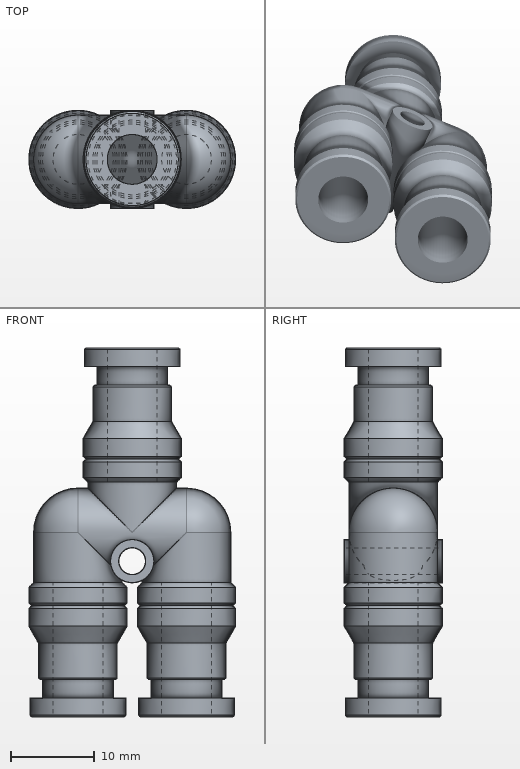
import cadquery as cq

height = 44.3
width = 24.8
band_dia = 11.8
body_dia = 10.65
arm_offset = (width - band_dia) / 2
body_z = height / 2

flange_dia = 11.5
neck_dia = 8.5
sleeve_dia = 9.45
bore_dia = 6.0

flange_end = 2.25
neck_end = 4.47
sleeve_end = 8.85
cone_end = 10.9
groove_start = 13.02
groove_end = 13.7
band_end = 15.55
connector_end = 16.13

flange_chamfer = 0.2
sleeve_chamfer = 0.2
groove_depth = 0.35

boss_dia = 5.2
boss_hole_dia = 3.2
boss_length = band_dia
boss_z = 18.7


def connector_leg():
    """Solid leg along +Z, from its open end at the origin to the centre of the body."""
    flange_r = flange_dia / 2
    neck_r = neck_dia / 2
    sleeve_r = sleeve_dia / 2
    band_r = band_dia / 2
    body_r = body_dia / 2
    profile = [
        (0, 0),
        (flange_r - flange_chamfer, 0),
        (flange_r, flange_chamfer),
        (flange_r, flange_end),
        (neck_r, flange_end),
        (neck_r, neck_end),
        (sleeve_r - sleeve_chamfer, neck_end),
        (sleeve_r, neck_end + sleeve_chamfer),
        (sleeve_r, sleeve_end),
        (band_r, cone_end),
        (band_r, groove_start),
        (band_r - groove_depth, (groove_start + groove_end) / 2),
        (band_r, groove_end),
        (band_r, band_end),
        (body_r, connector_end),
        (body_r, body_z),
        (0, body_z),
    ]
    return (
        cq.Workplane("XZ")
        .polyline(profile)
        .close()
        .revolve(360, (0, 0, 0), (0, 1, 0))
    )


def connector_bore():
    """Blind tube socket, as deep as the connector."""
    return cq.Workplane("XY").circle(bore_dia / 2).extrude(connector_end)


def place_three(shape):
    """One copy at the top centre and one at the bottom of each side arm."""
    top = shape.rotate((0, 0, 0), (1, 0, 0), 180).translate((0, 0, height))
    left = shape.translate((-arm_offset, 0, 0))
    right = shape.translate((arm_offset, 0, 0))
    return top.union(left).union(right)


def cross_cylinder(diameter):
    """Cylinder along Y through the crotch between the arms."""
    return (
        cq.Workplane("XZ")
        .center(0, boss_z)
        .circle(diameter / 2)
        .extrude(boss_length / 2, both=True)
    )


def elbow_bridge():
    """Horizontal tube joining the arms, closed at each end by a hemispherical elbow."""
    body_r = body_dia / 2
    return (
        cq.Workplane("XY")
        .moveTo(-arm_offset - body_r, 0)
        .radiusArc((-arm_offset, body_r), body_r)
        .lineTo(arm_offset, body_r)
        .radiusArc((arm_offset + body_r, 0), body_r)
        .close()
        .revolve(360, (0, 0, 0), (1, 0, 0))
        .translate((0, 0, body_z))
    )


body = place_three(connector_leg()).union(elbow_bridge()).union(cross_cylinder(boss_dia))
result = body.cut(place_three(connector_bore())).cut(cross_cylinder(boss_hole_dia))